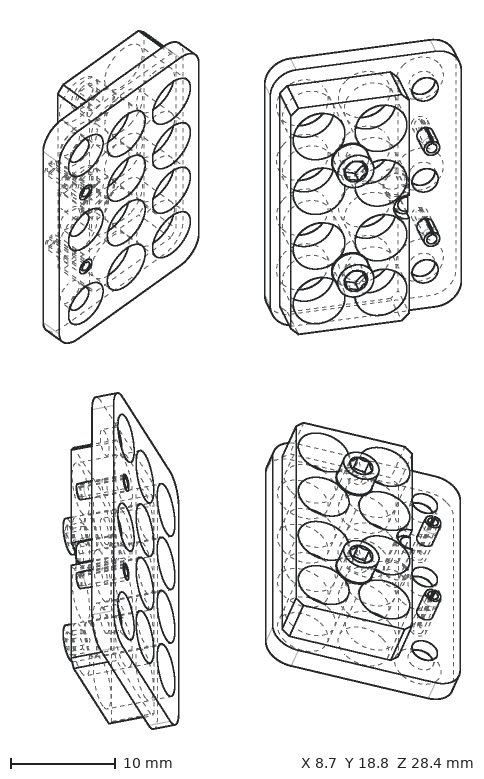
import cadquery as cq
import math


PLATE_WIDTH = 18.8
PLATE_HEIGHT = 28.45
PLATE_THICKNESS = 2.2
PLATE_CORNER_RADIUS = 2.53

BLOCK_WIDTH = 11.65
BLOCK_HEIGHT = 25.18
BLOCK_DEPTH = 4.3
BLOCK_CHAMFER = 0.75
BLOCK_SIDE_Y = -3.15

SOCKET_DIAMETER = 5.1
SOCKET_PITCH = 6.1
SOCKET_COLUMNS = 2
SOCKET_ROWS = 4

OVERALL_DEPTH = 8.7
STUD_BASE_DIAMETER = 3.65
STUD_TIP_DIAMETER = 3.55
STUD_RIM_HEIGHT = 0.1
HEXAGON_SIDES = 6
HEXAGON_ACROSS_FLATS = 2.0
HEXAGON_DEPTH = 1.42
HEXAGON_TURN = 15.0
HEXAGON_FLOOR_ANGLE = 120.0

SIDE_LINE_Y = -5.83
SIDE_HOLE_DIAMETER = 2.55
SIDE_HOLE_PITCH = 10.13
COUNTERSINK_DEPTH = 0.88
COUNTERSINK_ANGLE = 100.0

SPRING_PIN_DIAMETER = 1.62
SPRING_PIN_TIP_DIAMETER = 1.55
SPRING_PIN_BORE = 1.0
SPRING_PIN_PROJECTION = 2.55
SPRING_PIN_TAPER_LENGTH = 0.75
SPRING_PIN_SLOT_WIDTH = 0.2
SPRING_PIN_SLOT_OFFSET = -0.09

KEY_Y = -2.95
KEY_DIAMETER = 2.35
KEY_CHAMFER_RADIAL = 0.4
KEY_CHAMFER_AXIAL = 0.23
KEY_RECESS = 0.55
KEY_CLEARANCE = 0.1
KEY_PLATE_DEPTH = 1.15

PLATE_FACE_X = -PLATE_THICKNESS
BLOCK_FACE_X = PLATE_FACE_X - BLOCK_DEPTH
BLOCK_CENTER_Y = BLOCK_SIDE_Y + BLOCK_WIDTH / 2
STUD_TIP_X = -OVERALL_DEPTH
HEXAGON_CORNER_RADIUS = HEXAGON_ACROSS_FLATS / (2 * math.cos(math.pi / HEXAGON_SIDES))
SPRING_PIN_TIP_X = PLATE_FACE_X - SPRING_PIN_PROJECTION
KEY_TIP_X = BLOCK_FACE_X + KEY_RECESS
KEY_END_X = PLATE_FACE_X + KEY_PLATE_DEPTH
SOCKET_POINTS = [
    (
        BLOCK_CENTER_Y + (column - (SOCKET_COLUMNS - 1) / 2) * SOCKET_PITCH,
        (row - (SOCKET_ROWS - 1) / 2) * SOCKET_PITCH,
    )
    for column in range(SOCKET_COLUMNS)
    for row in range(SOCKET_ROWS)
]
STUD_POINTS = [(BLOCK_CENTER_Y, side * SOCKET_PITCH) for side in (-1, 1)]
SIDE_HOLE_POINTS = [(SIDE_LINE_Y, step * SIDE_HOLE_PITCH) for step in (-1, 0, 1)]
SPRING_PIN_POINTS = [(SIDE_LINE_Y, side * SIDE_HOLE_PITCH / 2) for side in (-1, 1)]


def slab(center_y, width, height, start_x, end_x):
    """Rectangular slab centred on Z = 0 between two X planes."""
    return cq.Workplane("YZ", origin=(start_x, center_y, 0)).rect(width, height).extrude(end_x - start_x)


def rods(points, diameter, start_x, end_x):
    """Round rods along X at the given (Y, Z) points."""
    plane = cq.Workplane("YZ", origin=(start_x, 0, 0))
    return plane.pushPoints(points).circle(diameter / 2).extrude(end_x - start_x)


def revolved(point, profile):
    """Solid of revolution about the X-parallel axis at (Y, Z); profile holds (X, radius) points."""
    center_y, center_z = point
    plane = cq.Workplane("XY", origin=(0, center_y, center_z))
    return plane.polyline(profile).close().revolve(360, (0, 0, 0), (1, 0, 0))


def make_plate():
    plate = slab(0, PLATE_WIDTH, PLATE_HEIGHT, PLATE_FACE_X, 0).edges("|X").fillet(PLATE_CORNER_RADIUS)
    plate = plate.cut(rods(SOCKET_POINTS, SOCKET_DIAMETER, PLATE_FACE_X, 0))
    for point in SIDE_HOLE_POINTS:
        plate = plate.cut(countersunk_hole(point))
    plate = plate.cut(rods(SPRING_PIN_POINTS, SPRING_PIN_DIAMETER, PLATE_FACE_X, 0))
    return plate.cut(key_hole_in_plate())


def countersunk_hole(point):
    """Mounting hole through the plate, countersunk from the back face."""
    radius = SIDE_HOLE_DIAMETER / 2
    flare = COUNTERSINK_DEPTH * math.tan(math.radians(COUNTERSINK_ANGLE / 2))
    return revolved(
        point,
        [
            (PLATE_FACE_X, 0),
            (PLATE_FACE_X, radius),
            (-COUNTERSINK_DEPTH, radius),
            (0, radius + flare),
            (0, 0),
        ],
    )


def key_hole_in_plate():
    """Blind hole that fits the key pin, with a small chamfer at the front face."""
    radius = KEY_DIAMETER / 2
    return revolved(
        (KEY_Y, 0),
        [
            (PLATE_FACE_X, 0),
            (PLATE_FACE_X, radius + KEY_CLEARANCE),
            (PLATE_FACE_X + KEY_CLEARANCE, radius),
            (KEY_END_X, radius),
            (KEY_END_X, 0),
        ],
    )


def make_block():
    block = slab(BLOCK_CENTER_Y, BLOCK_WIDTH, BLOCK_HEIGHT, BLOCK_FACE_X, PLATE_FACE_X)
    block = block.edges("|X").chamfer(BLOCK_CHAMFER)
    block = block.cut(rods(SOCKET_POINTS, SOCKET_DIAMETER, BLOCK_FACE_X, PLATE_FACE_X))
    key_groove_diameter = KEY_DIAMETER + 2 * KEY_CLEARANCE
    return block.cut(rods([(KEY_Y, 0)], key_groove_diameter, BLOCK_FACE_X, PLATE_FACE_X))


def hexagon_socket(point):
    """Hexagonal recess, turned about its axis, with a conical mouth and a conical floor."""
    center_y, center_z = point
    floor_x = STUD_TIP_X + HEXAGON_DEPTH
    cone_height = HEXAGON_CORNER_RADIUS / math.tan(math.radians(HEXAGON_FLOOR_ANGLE / 2))
    prism = (
        cq.Workplane("YZ", origin=(STUD_TIP_X, center_y, center_z))
        .transformed(rotate=(0, 0, HEXAGON_TURN))
        .polygon(HEXAGON_SIDES, 2 * HEXAGON_CORNER_RADIUS)
        .extrude(HEXAGON_DEPTH + cone_height)
    )
    mouth_depth = HEXAGON_CORNER_RADIUS - HEXAGON_ACROSS_FLATS / 2
    mouth = revolved(
        point,
        [
            (STUD_TIP_X, 0),
            (STUD_TIP_X, HEXAGON_CORNER_RADIUS),
            (STUD_TIP_X + mouth_depth, HEXAGON_ACROSS_FLATS / 2),
            (STUD_TIP_X + mouth_depth, 0),
        ],
    )
    drill = revolved(
        point,
        [
            (STUD_TIP_X, 0),
            (STUD_TIP_X, HEXAGON_CORNER_RADIUS),
            (floor_x, HEXAGON_CORNER_RADIUS),
            (floor_x + cone_height, 0),
        ],
    )
    return prism.intersect(drill).union(mouth)


def make_stud(point):
    base_radius = STUD_BASE_DIAMETER / 2
    tip_radius = STUD_TIP_DIAMETER / 2
    body = revolved(
        point,
        [
            (STUD_TIP_X, 0),
            (STUD_TIP_X, tip_radius),
            (BLOCK_FACE_X - STUD_RIM_HEIGHT, tip_radius),
            (BLOCK_FACE_X, base_radius),
            (BLOCK_FACE_X, 0),
        ],
    )
    return body.cut(hexagon_socket(point))


def make_spring_pin(point):
    """Slotted sleeve through the plate with a tapered tip."""
    center_y, center_z = point
    radius = SPRING_PIN_DIAMETER / 2
    sleeve = revolved(
        point,
        [
            (SPRING_PIN_TIP_X, SPRING_PIN_BORE / 2),
            (SPRING_PIN_TIP_X, SPRING_PIN_TIP_DIAMETER / 2),
            (SPRING_PIN_TIP_X + SPRING_PIN_TAPER_LENGTH, radius),
            (0, radius),
            (0, SPRING_PIN_BORE / 2),
        ],
    )
    slot = (
        cq.Workplane("XY", origin=(SPRING_PIN_TIP_X, center_y + SPRING_PIN_SLOT_OFFSET, center_z))
        .rect(-2 * SPRING_PIN_TIP_X, SPRING_PIN_SLOT_WIDTH)
        .extrude(SPRING_PIN_DIAMETER)
    )
    return sleeve.cut(slot)


def make_key_pin():
    """Round in the plate; in front of the plate it is cut flush with the side of the block."""
    radius = KEY_DIAMETER / 2
    pin = revolved(
        (KEY_Y, 0),
        [
            (KEY_TIP_X, 0),
            (KEY_TIP_X, radius - KEY_CHAMFER_RADIAL),
            (KEY_TIP_X + KEY_CHAMFER_AXIAL, radius),
            (KEY_END_X, radius),
            (KEY_END_X, 0),
        ],
    )
    cutter_y = BLOCK_SIDE_Y - KEY_DIAMETER / 2
    beyond_block_side = slab(cutter_y, KEY_DIAMETER, KEY_DIAMETER, KEY_TIP_X, PLATE_FACE_X)
    return pin.cut(beyond_block_side)


plate = make_plate()
block = make_block()
key_pin = make_key_pin()
studs = [make_stud(point) for point in STUD_POINTS]
spring_pins = [make_spring_pin(point) for point in SPRING_PIN_POINTS]

result = cq.Compound.makeCompound(
    [plate.val(), block.val(), key_pin.val()]
    + [stud.val() for stud in studs]
    + [spring_pin.val() for spring_pin in spring_pins]
)